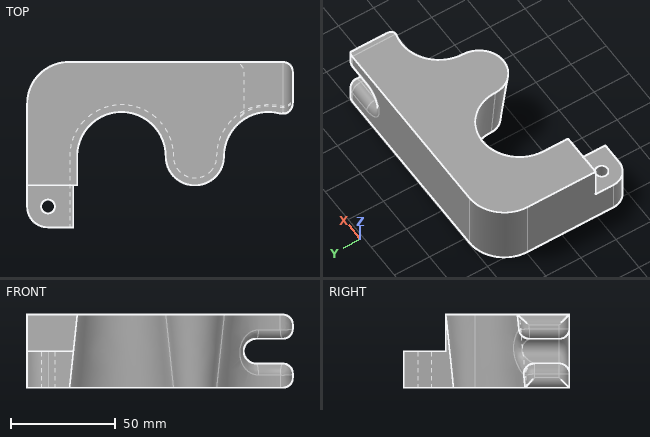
import cadquery as cq
import math

LENGTH = 126.7
DEPTH = 78.9
HEIGHT = 35.0
CORNER_RADIUS = 20.0

LUG_DEPTH = 20.0
LUG_HEIGHT = HEIGHT / 2
LUG_RADIUS = LUG_DEPTH / 2
HOLE_DIAMETER = 6.5

WALL = 24.0
SCALLOP_RADIUS = 21.0
DRAFT_ANGLE = 6.0
SCALLOP_Y = DEPTH - WALL - SCALLOP_RADIUS
NOSE_RADIUS = SCALLOP_Y - LUG_DEPTH
FIRST_SCALLOP_X = WALL + SCALLOP_RADIUS
NOSE_X = FIRST_SCALLOP_X + SCALLOP_RADIUS + NOSE_RADIUS
SECOND_SCALLOP_X = NOSE_X + NOSE_RADIUS + SCALLOP_RADIUS

SLOT_WIDTH = HEIGHT / 3
SLOT_CENTER_X = 109.0
FORK_FILLET = 5.0

CLEARANCE = 12.7
SELECT_MARGIN = 1.3


def scallop_outline(height, growth):
    """Outline of the scalloped opening, with its walls moved outward by growth."""
    scallop = SCALLOP_RADIUS + growth
    nose = NOSE_RADIUS - growth
    front_y = -CLEARANCE
    return (
        cq.Workplane("XY", origin=(0, 0, height))
        .moveTo(FIRST_SCALLOP_X - scallop, front_y)
        .lineTo(FIRST_SCALLOP_X - scallop, SCALLOP_Y)
        .threePointArc((FIRST_SCALLOP_X, SCALLOP_Y + scallop), (NOSE_X - nose, SCALLOP_Y))
        .threePointArc((NOSE_X, SCALLOP_Y - nose), (NOSE_X + nose, SCALLOP_Y))
        .threePointArc(
            (SECOND_SCALLOP_X, SCALLOP_Y + scallop),
            (SECOND_SCALLOP_X + scallop, SCALLOP_Y),
        )
        .lineTo(SECOND_SCALLOP_X + scallop, front_y)
        .close()
        .val()
    )


def make_block():
    """Full-height block, stepped down at the front to the lug height."""
    block = cq.Workplane().box(LENGTH, DEPTH, HEIGHT, centered=False)
    block = block.edges("|Z and <X and >Y").fillet(CORNER_RADIUS)
    block = block.edges("|Z and <X and <Y").fillet(LUG_RADIUS)
    step = (
        cq.Workplane(origin=(0, 0, LUG_HEIGHT))
        .box(LENGTH, LUG_DEPTH, HEIGHT - LUG_HEIGHT, centered=False)
    )
    return block.cut(step)


def make_scallops():
    """Drafted cutter for the inner wall, widest at the bottom."""
    growth = HEIGHT * math.tan(math.radians(DRAFT_ANGLE))
    outlines = [scallop_outline(0, growth), scallop_outline(HEIGHT, 0)]
    return cq.Workplane(cq.Solid.makeLoft(outlines, True))


def make_slot():
    """Slot through the depth, open at the right end."""
    center_z = HEIGHT / 2
    radius = SLOT_WIDTH / 2
    return (
        cq.Workplane("XZ")
        .moveTo(LENGTH + CLEARANCE, center_z + radius)
        .lineTo(SLOT_CENTER_X, center_z + radius)
        .threePointArc((SLOT_CENTER_X - radius, center_z), (SLOT_CENTER_X, center_z - radius))
        .lineTo(LENGTH + CLEARANCE, center_z - radius)
        .close()
        .extrude(-DEPTH)
    )


def round_fork(body):
    """Round the end faces of both prongs and the front and back rims of the slot."""
    end_edges = body.faces(">X").edges()
    slot_box = cq.selectors.BoxSelector(
        (SLOT_CENTER_X - SLOT_WIDTH, 0, (HEIGHT - SLOT_WIDTH) / 2 - SELECT_MARGIN),
        (LENGTH - SELECT_MARGIN, DEPTH + SELECT_MARGIN, (HEIGHT + SLOT_WIDTH) / 2 + SELECT_MARGIN),
    )
    slot_rims = body.edges(slot_box).edges("not |Y")
    return end_edges.add(slot_rims).fillet(FORK_FILLET)


body = make_block().cut(make_scallops()).cut(make_slot())
hole = cq.Workplane().center(LUG_RADIUS, LUG_RADIUS).circle(HOLE_DIAMETER / 2).extrude(LUG_HEIGHT)
result = round_fork(body.cut(hole))